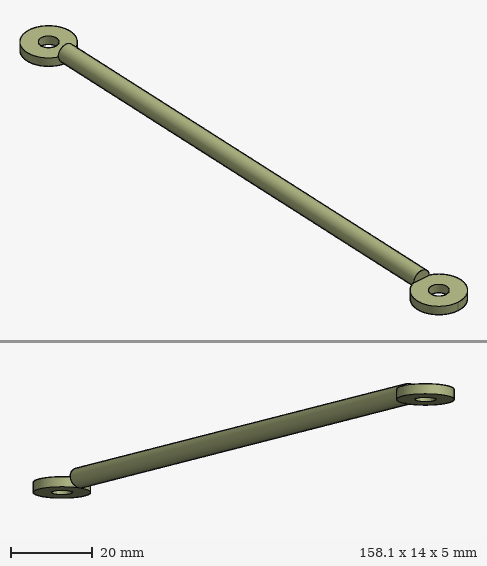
import cadquery as cq

overall_length = 158.1
eye_diameter = 14.0
hole_diameter = 5.0
rod_diameter = 5.0
rod_length = 131.2

eye_thickness = rod_diameter / 2
eye_offset = (overall_length - eye_diameter) / 2
eye_centers = [(-eye_offset, 0), (eye_offset, 0)]

rod_radius = rod_diameter / 2
rod = (
    cq.Workplane("YZ", origin=(-rod_length / 2, 0, rod_radius))
    .moveTo(-rod_radius, 0)
    .threePointArc((0, rod_radius), (rod_radius, 0))
    .threePointArc((0, -rod_radius), (-rod_radius, 0))
    .close()
    .extrude(rod_length)
)

eyes = (
    cq.Workplane("XY")
    .pushPoints(eye_centers)
    .circle(eye_diameter / 2)
    .extrude(eye_thickness)
)

holes = (
    cq.Workplane("XY")
    .pushPoints(eye_centers)
    .circle(hole_diameter / 2)
    .extrude(eye_thickness)
)

result = rod.union(eyes).cut(holes)